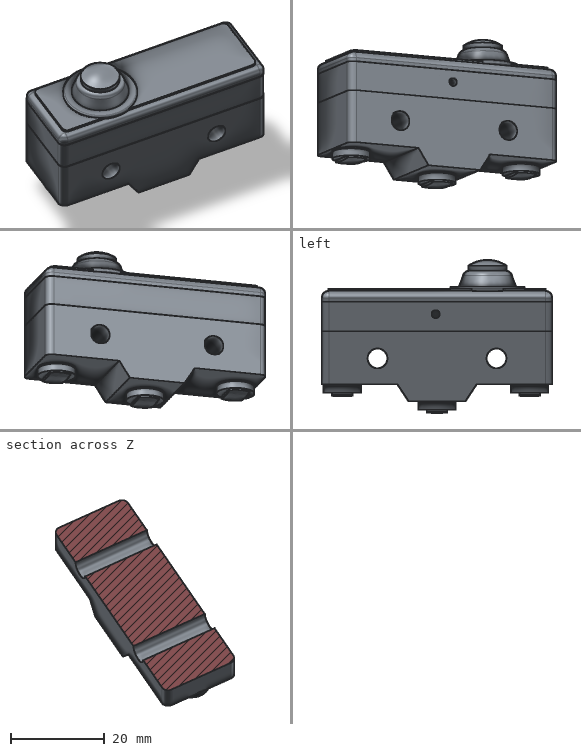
import cadquery as cq


length = 49.2
base_width = 17.5
upper_width = 17.35
upper_shift = 0.075
corner_radius = 1.53
cover_edge_radius = 1.5
base_top = 11.3
middle_top = 17.6
shoulder_top = 19.98
plate_top = 20.4
plate_inset = 1.45
plate_corner_radius = 1.25

keel_depth = 3.6
keel_half_length_top = 8.45
keel_half_length_bottom = 6.1

mounting_hole_diameter = 4.2
mounting_hole_spacing = 25.4
mounting_hole_height = 5.55
pin_hole_diameter = 1.7
pin_hole_depth = 2.45
pin_hole_y = 0.3
pin_hole_height = 15.0

plunger_y = -10.77
flange_diameter = 15.9
flange_bottom = 19.9
flange_top = 20.85
flange_rounding = 0.3
boot_bottom_diameter = 12.25
boot_top_diameter = 9.7
boot_top = 24.3
boot_rounding = 1.5
button_diameter = 8.3
button_shoulder = 25.3
button_top = 26.6

terminal_seats = [(20.2, 0.0), (0.0, -keel_depth), (-19.8, 0.0)]
terminal_diameter = 8.0
boss_height = 0.35
terminal_height = 1.5
head_diameter = 7.5
head_width = 4.45
head_height = 0.75
head_dome_height = 0.35


def rounded_block(width, bottom, top, x_center):
    """Upright block with the rounded vertical corners of the housing."""
    return (
        cq.Workplane("XY", origin=(x_center, 0, bottom))
        .rect(width, length)
        .extrude(top - bottom)
        .edges("|Z")
        .fillet(corner_radius)
    )


def disc(diameter, bottom, top, y_center):
    """Upright cylinder on the X = 0 plane."""
    return cq.Workplane("XY", origin=(0, y_center, bottom)).circle(diameter / 2).extrude(top - bottom)


def make_base():
    base = rounded_block(base_width, 0, base_top, 0)
    keel = (
        cq.Workplane("YZ", origin=(-base_width / 2, 0, 0))
        .polyline([
            (-keel_half_length_top, 0),
            (-keel_half_length_bottom, -keel_depth),
            (keel_half_length_bottom, -keel_depth),
            (keel_half_length_top, 0),
        ])
        .close()
        .extrude(base_width)
    )
    base = base.union(keel)
    for y, seat in terminal_seats:
        base = base.union(disc(terminal_diameter, seat - boss_height, seat, y))
    mounting_holes = (
        cq.Workplane("YZ", origin=(-base_width / 2, 0, mounting_hole_height))
        .pushPoints([(-mounting_hole_spacing / 2, 0), (mounting_hole_spacing / 2, 0)])
        .circle(mounting_hole_diameter / 2)
        .extrude(base_width)
    )
    return base.cut(mounting_holes)


def make_middle():
    middle = rounded_block(upper_width, base_top, middle_top, -upper_shift)
    outer_face_x = -upper_shift - upper_width / 2
    pin_hole = (
        cq.Workplane("YZ", origin=(outer_face_x, pin_hole_y, pin_hole_height))
        .circle(pin_hole_diameter / 2)
        .extrude(pin_hole_depth)
    )
    return middle.cut(pin_hole)


def flange_blank():
    """Solid flange disc, which is also the shape of its seat in the cover."""
    blank = disc(flange_diameter, flange_bottom, flange_top, plunger_y)
    return blank.edges().fillet(flange_rounding)


def make_cover():
    block = rounded_block(upper_width, middle_top, shoulder_top, upper_shift)
    cover = block.faces(">Z").edges().fillet(cover_edge_radius)
    plate = (
        cq.Workplane("XY", origin=(upper_shift, 0, middle_top))
        .rect(upper_width - 2 * plate_inset, length - 2 * plate_inset)
        .extrude(plate_top - middle_top)
        .edges("|Z")
        .fillet(plate_corner_radius)
    )
    return cover.union(plate).cut(flange_blank())


def make_flange():
    return flange_blank().cut(disc(button_diameter, flange_bottom, flange_top, plunger_y))


def make_boot():
    cone = (
        cq.Workplane("XY", origin=(0, plunger_y, flange_top))
        .circle(boot_bottom_diameter / 2)
        .workplane(offset=boot_top - flange_top)
        .circle(boot_top_diameter / 2)
        .loft()
    )
    boot = cone.faces(">Z").edges().fillet(boot_rounding)
    return boot.cut(disc(button_diameter, flange_top, boot_top, plunger_y))


def domed_cylinder(radius, shoulder, crown):
    """Cylinder standing on the origin, straight up to the shoulder and closed by a shallow dome."""
    rise = crown - shoulder
    sphere_radius = (radius**2 + rise**2) / (2 * rise)
    cylinder = cq.Workplane("XY").circle(radius).extrude(crown)
    sphere = cq.Workplane("XY", origin=(0, 0, crown - sphere_radius)).sphere(sphere_radius)
    return cylinder.intersect(sphere)


def make_button():
    button = domed_cylinder(button_diameter / 2, button_shoulder - flange_bottom, button_top - flange_bottom)
    return button.translate((0, plunger_y, flange_bottom))


def make_terminal(y, seat):
    top = seat - boss_height
    bottom = top - terminal_height
    flattened = cq.Workplane("XY").rect(head_diameter, head_width).extrude(head_height)
    head = (
        domed_cylinder(head_diameter / 2, head_height - head_dome_height, head_height)
        .intersect(flattened)
        .mirror("XY")
        .translate((0, y, bottom))
    )
    return disc(terminal_diameter, bottom, top, y).union(head)


base = make_base()
middle = make_middle()
cover = make_cover()
flange = make_flange()
boot = make_boot()
button = make_button()
terminals = [make_terminal(y, seat) for y, seat in terminal_seats]

result = cq.Compound.makeCompound([
    base.val(),
    middle.val(),
    cover.val(),
    flange.val(),
    boot.val(),
    button.val(),
    *[terminal.val() for terminal in terminals],
])